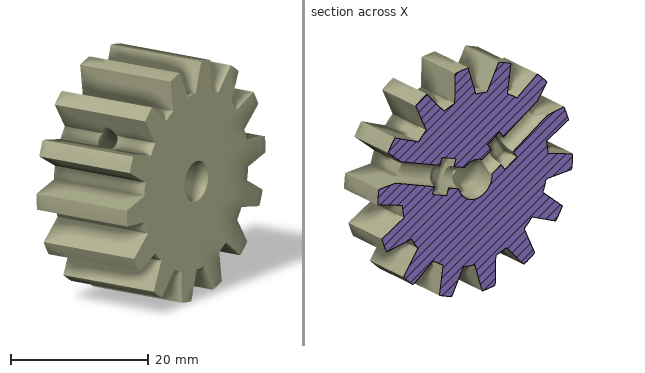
import cadquery as cq
import math

gear_width = 16.0
tooth_count = 14
tip_radius = 17.907
root_radius = 13.4
tip_chord = 2.46
root_chord = 3.98
bore_diameter = 6.1
tooth_pitch = 360.0 / tooth_count
first_tooth_angle = 82.0

screw_diameter = 3.2
screw_position = gear_width / 2
nut_thickness = 2.6
nut_across_flats = 5.6
bore_to_nut_wall = 1.6
nut_slot_depth = screw_position + nut_across_flats / 2
nut_center_radius = bore_diameter / 2 + bore_to_nut_wall + nut_thickness / 2

screw_gaps = (-2.5, 2.5)


def polar(radius, angle):
    """Point in the YZ plane at an angle in degrees."""
    return (radius * math.cos(math.radians(angle)), radius * math.sin(math.radians(angle)))


def half_angle(chord, radius):
    """Half of the angle, in degrees, that a chord spans on a circle."""
    return math.degrees(math.asin(chord / 2 / radius))


def make_gear():
    """Straight-flanked spur gear with arcs at the tips and roots."""
    tip_half = half_angle(tip_chord, tip_radius)
    root_half = half_angle(root_chord, root_radius)
    outline = cq.Workplane("YZ").moveTo(*polar(root_radius, first_tooth_angle - root_half))
    for index in range(tooth_count):
        tooth_angle = first_tooth_angle + index * tooth_pitch
        next_tooth_angle = tooth_angle + tooth_pitch
        gap_angle = tooth_angle + tooth_pitch / 2
        outline = outline.lineTo(*polar(tip_radius, tooth_angle - tip_half))
        outline = outline.threePointArc(
            polar(tip_radius, tooth_angle), polar(tip_radius, tooth_angle + tip_half)
        )
        outline = outline.lineTo(*polar(root_radius, tooth_angle + root_half))
        outline = outline.threePointArc(
            polar(root_radius, gap_angle), polar(root_radius, next_tooth_angle - root_half)
        )
    return outline.close().extrude(gear_width)


def make_bore():
    """Shaft bore through the full width."""
    return cq.Workplane("YZ").circle(bore_diameter / 2).extrude(gear_width)


def make_screw_cut(angle):
    """Radial screw hole from the bore outward, plus the nut slot open at X = 0."""
    hole = (
        cq.Workplane("XZ", origin=(screw_position, 0, 0))
        .circle(screw_diameter / 2)
        .extrude(-tip_radius)
    )
    slot = (
        cq.Workplane("YZ")
        .center(nut_center_radius, 0)
        .rect(nut_thickness, nut_across_flats)
        .extrude(nut_slot_depth)
    )
    return hole.union(slot).rotate((0, 0, 0), (1, 0, 0), angle)


result = make_gear().cut(make_bore())
for gap in screw_gaps:
    result = result.cut(make_screw_cut(first_tooth_angle + gap * tooth_pitch))